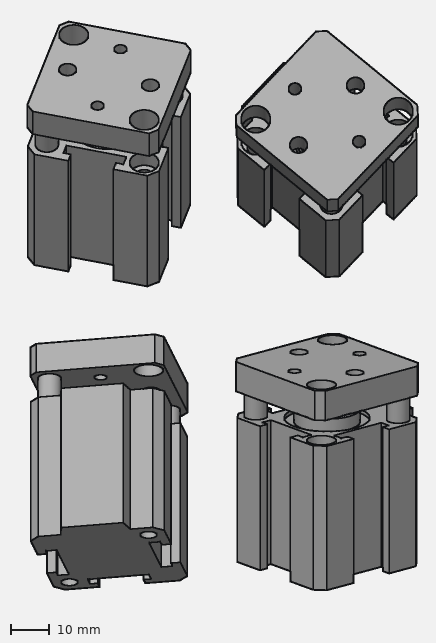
import cadquery as cq

total_height = 54.0
body_width = 35.0

housing_height = 39.0
housing_chamfer = 2.5

ridge_height = 4.5
ridge_base_width = 18.25
ridge_top_width = 16.2

slot_opening = 12.0
slot_depth = 5.4
slot_lip = 2.5
slot_undercut = 2.0
slot_side_angles = (0, 90, -90)

recess_diameter = 22.0
recess_depth = 1.0
collar_diameter = 17.0
collar_height = 3.0
collar_chamfer = 0.55

plate_thickness = 8.0
plate_chamfer = 2.0
tapped_hole_offset = 11.0
wide_tapped_diameter = 4.5
narrow_tapped_diameter = 3.25

corner_offset = 12.95
guide_diameter = 6.0
bolt_head_diameter = 7.5
bolt_head_depth = 4.5
bolt_shank_diameter = 4.3

rod_diameter = 8.0
rod_chamfer = 0.5
rod_flat_width = 6.0
rod_round_height = 0.8

half_width = body_width / 2
collar_top = housing_height + collar_height
plate_bottom = total_height - plate_thickness
guide_places = [(-corner_offset, -corner_offset), (corner_offset, corner_offset)]
bolt_places = [(-corner_offset, corner_offset), (corner_offset, -corner_offset)]


def cylinder(diameter, bottom, top, places=((0, 0),)):
    """Upright cylinders of one diameter between two heights."""
    return (
        cq.Workplane("XY", origin=(0, 0, bottom))
        .pushPoints(list(places))
        .circle(diameter / 2)
        .extrude(top - bottom)
    )


def chamfered_block(chamfer, bottom, top):
    """Square block with its four upright corners cut off."""
    return (
        cq.Workplane("XY", origin=(0, 0, bottom))
        .rect(body_width, body_width)
        .extrude(top - bottom)
        .edges("|Z")
        .chamfer(chamfer)
    )


def ridge():
    """Tapered ridge along the back, full height of the housing."""
    return (
        cq.Workplane("XY")
        .moveTo(-ridge_base_width / 2, half_width)
        .lineTo(-ridge_top_width / 2, half_width + ridge_height)
        .lineTo(ridge_top_width / 2, half_width + ridge_height)
        .lineTo(ridge_base_width / 2, half_width)
        .close()
        .extrude(housing_height)
    )


def t_slot():
    """Cutter for the T-slot in the front (-Y) side."""
    opening = (
        cq.Workplane("XY")
        .center(0, -half_width + slot_depth / 2)
        .rect(slot_opening, slot_depth)
        .extrude(housing_height)
    )
    wide_depth = slot_depth - slot_lip
    wide_part = (
        cq.Workplane("XY")
        .center(0, -half_width + slot_lip + wide_depth / 2)
        .rect(slot_opening + 2 * slot_undercut, wide_depth)
        .extrude(housing_height)
    )
    return opening.union(wide_part)


def make_housing():
    """Slotted housing with its rod collar and counterbored mounting holes."""
    housing = chamfered_block(housing_chamfer, 0, housing_height).union(ridge())
    for angle in slot_side_angles:
        housing = housing.cut(t_slot().rotate((0, 0, 0), (0, 0, 1), angle))

    head_bottom = housing_height - bolt_head_depth
    housing = housing.cut(cylinder(bolt_shank_diameter, 0, housing_height, bolt_places))
    housing = housing.cut(cylinder(bolt_head_diameter, head_bottom, housing_height, bolt_places))

    recess_bottom = housing_height - recess_depth
    collar = cylinder(collar_diameter, recess_bottom, collar_top).faces(">Z").chamfer(collar_chamfer)
    housing = housing.cut(cylinder(recess_diameter, recess_bottom, housing_height))
    return housing.union(collar)


def piston_rod():
    """Rod from the collar to the plate, with two wrench flats facing X."""
    rod = cylinder(rod_diameter, collar_top, plate_bottom).faces(">Z").chamfer(rod_chamfer)
    flats_bottom = collar_top + rod_round_height
    flats_height = plate_bottom - flats_bottom
    flats_ring = (
        cq.Workplane("XY", origin=(0, 0, flats_bottom))
        .rect(2 * rod_diameter, 2 * rod_diameter)
        .rect(rod_flat_width, 2 * rod_diameter)
        .extrude(flats_height)
    )
    return rod.cut(flats_ring)


def make_moving_plate():
    """Plate with its guide rods and piston rod, resting on the housing."""
    plate = chamfered_block(plate_chamfer, plate_bottom, total_height)

    hole_sets = [
        (bolt_head_diameter, bolt_places),
        (wide_tapped_diameter, [(-tapped_hole_offset, 0), (tapped_hole_offset, 0)]),
        (narrow_tapped_diameter, [(0, -tapped_hole_offset), (0, tapped_hole_offset)]),
    ]
    for diameter, places in hole_sets:
        plate = plate.cut(cylinder(diameter, plate_bottom, total_height, places))

    guides = cylinder(guide_diameter, housing_height, plate_bottom, guide_places)
    return plate.union(guides).union(piston_rod())


housing = make_housing()
moving_plate = make_moving_plate()

result = cq.Compound.makeCompound([housing.val(), moving_plate.val()])